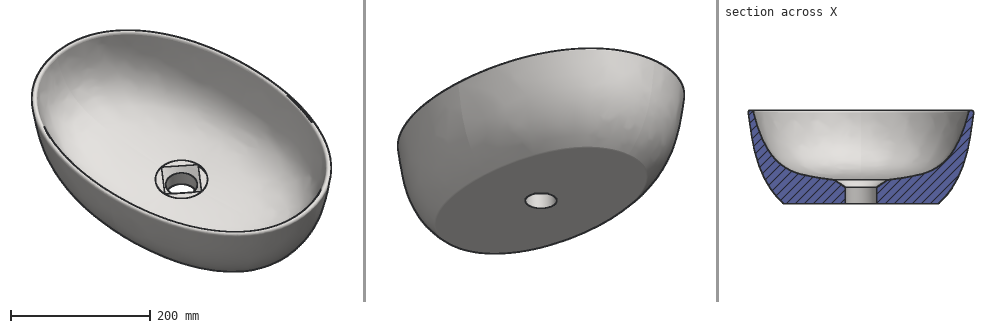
import cadquery as cq

HEIGHT = 135.0
WALL = 8.4

RIM_HALF_X = 241.0
RIM_HALF_Y = 163.5
BASE_HALF_X = 184.5
BASE_HALF_Y = 111.5

RIM_ROUND = 3.9
BASE_ROUND = 3.0

BOWL_BOTTOM = 34.6
DRAIN_MOUTH_RADIUS = 37.5
DRAIN_LIP_CHAMFER = 1.0
SEAT_RADIUS = 31.5
SEAT_LEVEL = 30.4
HOLE_RADIUS = 22.6
HOLE_TOP = 24.0

OVAL_HANDLES = (0.536, 0.647)
CIRCLE_HANDLES = (0.5523, 0.5523)

OUTER_CURVE = [
    (RIM_HALF_X, RIM_HALF_Y, HEIGHT),
    (234.8, 157.3, 115.0),
    (240.0, 160.6, 44.9),
    (BASE_HALF_X, BASE_HALF_Y, 0.0),
]
BOWL_CURVE = [
    (RIM_HALF_X - WALL, RIM_HALF_Y - WALL, HEIGHT),
    (214.5, 133.1, 43.8),
    (157.8, 96.9, 42.7),
    (DRAIN_MOUTH_RADIUS, DRAIN_MOUTH_RADIUS, BOWL_BOTTOM),
]
SECTION_COUNT = 9


def blend(start, end, t):
    """Point at fraction t of the way from start to end."""
    return tuple(a + t * (b - a) for a, b in zip(start, end))


def bezier_point(points, t):
    """Point at parameter t of a Bezier curve, by repeated blending of its control points."""
    while len(points) > 1:
        points = [blend(a, b, t) for a, b in zip(points, points[1:])]
    return points[0]


def oval(half_x, half_y, z, handles):
    """Closed horizontal oval made of four mirrored Bezier quarters."""
    handle_x = handles[0] * half_x
    handle_y = handles[1] * half_y
    quarter = [(half_x, 0), (half_x, handle_y), (handle_x, half_y), (0, half_y)]
    edges = []
    for sign_x, sign_y in ((1, 1), (-1, 1), (-1, -1), (1, -1)):
        corners = [cq.Vector(sign_x * x, sign_y * y, z) for x, y in quarter]
        if sign_x * sign_y < 0:
            corners.reverse()
        edges.append(cq.Edge.makeBezier(corners))
    return cq.Wire.assembleEdges(edges)


def oval_loft(curve, bottom_handles):
    """Solid whose oval sections follow the curve from the rim down to its last point."""
    sections = []
    for i in range(SECTION_COUNT):
        t = i / (SECTION_COUNT - 1)
        half_x, half_y, z = bezier_point(curve, t)
        sections.append(oval(half_x, half_y, z, blend(OVAL_HANDLES, bottom_handles, t)))
    return cq.Workplane(obj=cq.Solid.makeLoft(sections))


def drain_cutter():
    """Turned cutter: chamfered lip, conical seat and straight hole through the base."""
    mouth_level = BOWL_BOTTOM - DRAIN_LIP_CHAMFER
    profile = (
        cq.Workplane("XZ")
        .lineTo(HOLE_RADIUS, 0)
        .lineTo(HOLE_RADIUS, HOLE_TOP)
        .lineTo(SEAT_RADIUS, SEAT_LEVEL)
        .lineTo(DRAIN_MOUTH_RADIUS - DRAIN_LIP_CHAMFER, mouth_level)
        .lineTo(DRAIN_MOUTH_RADIUS, BOWL_BOTTOM)
        .lineTo(0, BOWL_BOTTOM)
        .close()
    )
    return profile.revolve()


body = oval_loft(OUTER_CURVE, OVAL_HANDLES)
body = body.faces("<Z").edges().fillet(BASE_ROUND)
body = body.cut(oval_loft(BOWL_CURVE, CIRCLE_HANDLES))
body = body.faces(">Z").edges().fillet(RIM_ROUND)
result = body.cut(drain_cutter())